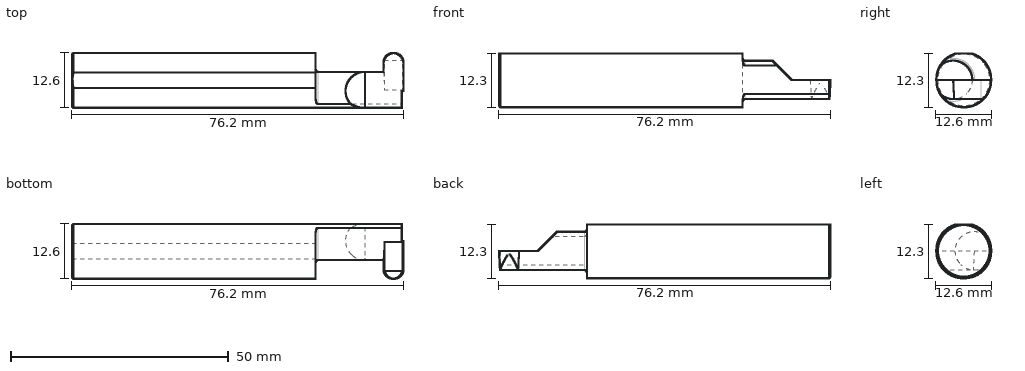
import cadquery as cq
import math

overall_length = 76.2
shank_radius = 6.3
shank_length = 56.0
flat_width = 3.6
flat_height = math.sqrt(shank_radius**2 - (flat_width / 2) ** 2)
rear_chamfer = 0.4

neck_radius = 4.4
neck_center_y = -2.45
neck_end_x = 75.8
shoulder_fillet = 0.5

ledge_start_x = 67.3
ramp_start_x = ledge_start_x - neck_radius

tooth_width = 4.65
tooth_tip_radius = tooth_width / 2
tooth_tip_y = shank_radius
tooth_depth = neck_radius
clearance_angle = 3.0


def bar_along_x(radius, start_x, end_x, center_y=0):
    """Round bar parallel to X."""
    return cq.Workplane("YZ", origin=(start_x, center_y, 0)).circle(radius).extrude(end_x - start_x)


def make_shank():
    shank = bar_along_x(shank_radius, 0, shank_length).faces("<X").chamfer(rear_chamfer)
    above_flat = (
        cq.Workplane("XY", origin=(0, 0, flat_height))
        .rect(2 * shank_length, 2 * shank_radius)
        .extrude(shank_radius)
    )
    return shank.cut(above_flat)


def make_neck():
    """Neck with a concave fillet flaring out to the shank shoulder."""
    fillet_end_x = shank_length + shoulder_fillet
    flare_radius = neck_radius + shoulder_fillet
    neck = bar_along_x(neck_radius, shank_length, neck_end_x, neck_center_y)
    flare = (
        cq.Workplane("XY", origin=(0, neck_center_y, 0))
        .moveTo(shank_length, 0)
        .lineTo(shank_length, flare_radius)
        .radiusArc((fillet_end_x, neck_radius), -shoulder_fillet)
        .lineTo(fillet_end_x, 0)
        .close()
        .revolve(360, (0, 0, 0), (1, 0, 0))
    )
    envelope = bar_along_x(shank_radius, shank_length, neck_end_x)
    return neck.union(flare).intersect(envelope)


def cut_ledge(neck):
    above_ledge = (
        cq.Workplane("XZ")
        .moveTo(ledge_start_x, 0)
        .lineTo(overall_length, 0)
        .lineTo(overall_length, neck_radius)
        .lineTo(ramp_start_x, neck_radius)
        .close()
        .extrude(shank_radius, both=True)
    )
    return neck.cut(above_ledge)


def make_tooth():
    """Tooth whose flanks draw in below the cutting face, kept inside the shank outline."""
    tooth_start_x = overall_length - tooth_width
    round_start_y = tooth_tip_y - tooth_tip_radius
    envelope = bar_along_x(shank_radius, shank_length, overall_length)
    finger = (
        cq.Workplane("XY")
        .moveTo(tooth_start_x, neck_center_y)
        .lineTo(overall_length, neck_center_y)
        .lineTo(overall_length, round_start_y)
        .threePointArc((overall_length - tooth_tip_radius, tooth_tip_y), (tooth_start_x, round_start_y))
        .close()
        .extrude(-tooth_depth, taper=clearance_angle)
    )
    return finger.intersect(envelope)


result = make_shank().union(cut_ledge(make_neck())).union(make_tooth())